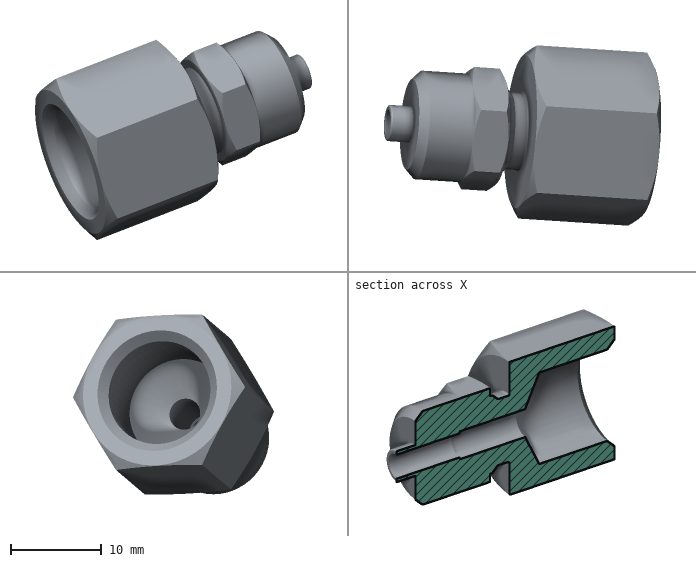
import cadquery as cq
import math

nut_end = 14.0
core_start = nut_end - 1.0
neck_end = 15.5
collar_start = 16.25
body_hex_start = 16.5
body_hex_end = 20.5
sleeve_end = 26.5
tube_end = 29.0

nut_flats = 17.0
nut_face_dia = 16.9
body_flats = 12.0
body_face_dia = 11.9
hex_chamfer_angle = 30.0

neck_dia = 8.5
neck_root_fillet = 0.2
collar_dia = 10.0
sleeve_dia = 12.0
sleeve_chamfer = 1.0
tube_dia = 4.0
tube_tip_fillet = 0.2

bore_dia = 11.6
bore_mouth_dia = 13.6
bore_mouth_depth = (bore_mouth_dia - bore_dia) / 2
bore_depth = 10.0
drill_point_angle = 130.0
throat_dia = 3.5
throat_end = body_hex_end
tube_bore_dia = 3.0


def revolve_about_y(profile):
    """Turn a closed (radius, y) outline about the Y axis."""
    points = [(y, radius) for radius, y in profile]
    return cq.Workplane("YZ").polyline(points).close().revolve(360, (0, 0, 0), (1, 0, 0))


def chamfered_hexagon(flats, face_dia, start, end):
    """Hexagonal prism along Y, flats facing +Z and -Z, with both ends turned to a cone."""
    corner_radius = flats / math.sqrt(3)
    face_radius = face_dia / 2
    cone_depth = (corner_radius - face_radius) * math.tan(math.radians(hex_chamfer_angle))
    prism = (
        cq.Workplane("XZ", origin=(0, start, 0))
        .polygon(6, 2 * corner_radius)
        .extrude(start - end)
    )
    turned_envelope = revolve_about_y([
        (0, start),
        (face_radius, start),
        (corner_radius, start + cone_depth),
        (corner_radius, end - cone_depth),
        (face_radius, end),
        (0, end),
    ])
    return prism.intersect(turned_envelope)


def round_body():
    """Neck, collar, sleeve and tube as one turned core, with a rounded tube tip."""
    core = revolve_about_y([
        (0, core_start),
        (neck_dia / 2, core_start),
        (neck_dia / 2, neck_end),
        (collar_dia / 2, collar_start),
        (collar_dia / 2, body_hex_end),
        (sleeve_dia / 2, body_hex_end),
        (sleeve_dia / 2, sleeve_end - sleeve_chamfer),
        (sleeve_dia / 2 - sleeve_chamfer, sleeve_end),
        (tube_dia / 2, sleeve_end),
        (tube_dia / 2, tube_end),
        (0, tube_end),
    ])
    return core.faces(">Y").edges().fillet(tube_tip_fillet)


def fillet_neck_root(solid):
    """Round the inner corner where the neck rises from the rear face of the nut."""
    reach = neck_dia / 2 + neck_root_fillet
    root_zone = cq.selectors.BoxSelector(
        (-reach, nut_end - neck_root_fillet, -reach),
        (reach, nut_end + neck_root_fillet, reach),
        boundingbox=True,
    )
    return solid.edges(root_zone).fillet(neck_root_fillet)


def drill_point_length(large_dia, small_dia):
    """Axial length of a drill-point cone that steps down between two diameters."""
    return (large_dia - small_dia) / 2 / math.tan(math.radians(drill_point_angle / 2))


def passage():
    """Socket with a flared mouth and a drilled floor, then a throat and a narrow tube bore."""
    return revolve_about_y([
        (0, 0),
        (bore_mouth_dia / 2, 0),
        (bore_dia / 2, bore_mouth_depth),
        (bore_dia / 2, bore_depth),
        (throat_dia / 2, bore_depth + drill_point_length(bore_dia, throat_dia)),
        (throat_dia / 2, throat_end),
        (tube_bore_dia / 2, throat_end + drill_point_length(throat_dia, tube_bore_dia)),
        (tube_bore_dia / 2, tube_end),
        (0, tube_end),
    ])


nut = chamfered_hexagon(nut_flats, nut_face_dia, 0, nut_end)
body_hexagon = chamfered_hexagon(body_flats, body_face_dia, body_hex_start, body_hex_end)
outside = fillet_neck_root(nut.union(round_body())).union(body_hexagon)
result = outside.cut(passage())